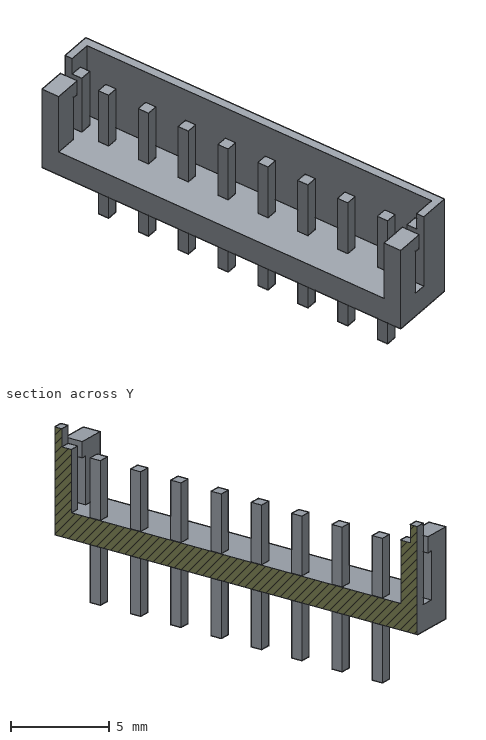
import cadquery as cq

PIN_COUNT = 8
PIN_PITCH = 2.5
PIN_SIZE = 0.64
PIN_TOP = 4.8
PIN_TAIL = 3.2

END_MARGIN = 2.5
HOUSING_LENGTH = (PIN_COUNT - 1) * PIN_PITCH + 2 * END_MARGIN
HOUSING_DEPTH = 3.8
HOUSING_HEIGHT = 6.0
FLOOR_THICKNESS = 1.5
BACK_WALL = 0.5
SIDE_WALL = 0.45

ROW_TO_BACK = 1.6
BACK_Y = ROW_TO_BACK
FRONT_Y = BACK_Y - HOUSING_DEPTH
SIDE_WALL_LENGTH = 1.8
SIDE_WALL_FRONT_Y = BACK_Y - SIDE_WALL_LENGTH

POST_WIDTH = 1.05
POST_TOP = 5.1
POST_DEPTH = 1.3
LATCH_OVERHANG = 0.3
LATCH_HEIGHT = 0.9

RIB_DEPTH = 0.7
RIB_TOP = 5.0


def block(x_range, y_range, z_range):
    """Box spanning the given (low, high) ranges along X, Y and Z."""
    (x0, x1), (y0, y1), (z0, z1) = x_range, y_range, z_range
    return cq.Workplane("XY").box(x1 - x0, y1 - y0, z1 - z0, centered=False).translate((x0, y0, z0))


def floor_and_back_wall():
    half_length = HOUSING_LENGTH / 2
    x_range = (-half_length, half_length)
    floor = block(x_range, (FRONT_Y, BACK_Y), (0, FLOOR_THICKNESS))
    back_wall = block(x_range, (BACK_Y - BACK_WALL, BACK_Y), (0, HOUSING_HEIGHT))
    return floor.union(back_wall)


def left_end():
    """Side wall with its inner rib, and the latch post across the slot from them."""
    outer_x = -HOUSING_LENGTH / 2
    inner_x = outer_x + POST_WIDTH
    side_wall = block(
        (outer_x, outer_x + SIDE_WALL), (SIDE_WALL_FRONT_Y, BACK_Y), (0, HOUSING_HEIGHT)
    )
    rib = block(
        (outer_x, inner_x), (SIDE_WALL_FRONT_Y, SIDE_WALL_FRONT_Y + RIB_DEPTH), (0, RIB_TOP)
    )
    post_back_y = FRONT_Y + POST_DEPTH
    post = block((outer_x, inner_x), (FRONT_Y, post_back_y), (0, POST_TOP))
    latch = block(
        (outer_x, inner_x), (FRONT_Y, post_back_y + LATCH_OVERHANG), (POST_TOP - LATCH_HEIGHT, POST_TOP)
    )
    return side_wall.union(rib).union(post).union(latch)


def pins():
    length = PIN_TOP + PIN_TAIL
    return (
        cq.Workplane("XY", origin=(0, 0, -PIN_TAIL))
        .rarray(PIN_PITCH, 1, PIN_COUNT, 1)
        .rect(PIN_SIZE, PIN_SIZE)
        .extrude(length)
    )


end = left_end()
result = floor_and_back_wall().union(end).union(end.mirror("YZ")).union(pins())